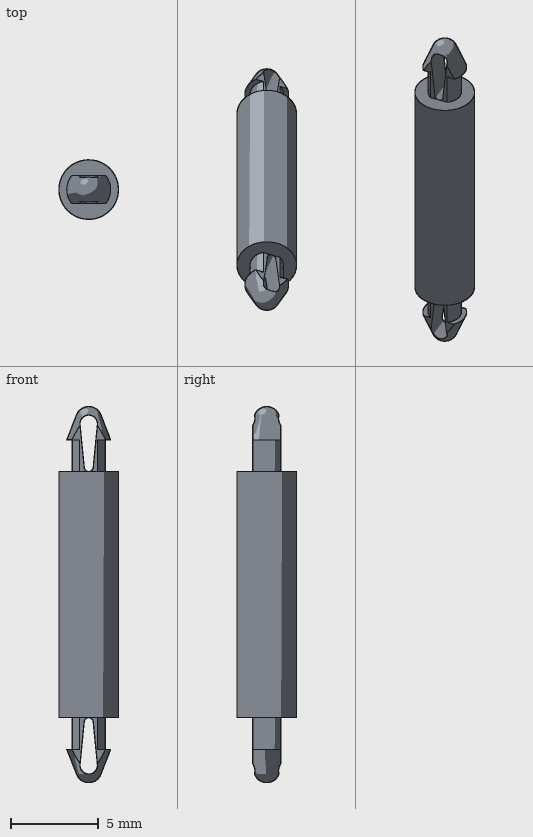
import math

import cadquery as cq

BODY_DIAMETER = 3.4
BODY_LENGTH = 14.0

CLIP_HEIGHT = 3.7
CLIP_THICKNESS = 1.6
STEM_DIAMETER = 1.9
BARB_DIAMETER = 2.5
BARB_HEIGHT = 1.8
NOSE_RADIUS = 0.75

SLOT_BOTTOM_RADIUS = 0.25
SLOT_TOP_RADIUS = 0.49
SLOT_TOP_HEIGHT = 3.2


def polar(center, radius, angle):
    """Point at the given angle on a circle around center."""
    return (center[0] + radius * math.cos(angle), center[1] + radius * math.sin(angle))


def make_body():
    """Plain round spacer."""
    return cq.Workplane("XY").cylinder(BODY_LENGTH, BODY_DIAMETER / 2)


def make_stem_and_barb():
    """Round stem with a conical barb that runs tangentially into a spherical nose."""
    stem_radius = STEM_DIAMETER / 2
    barb_radius = BARB_DIAMETER / 2
    nose_center = (0, CLIP_HEIGHT - NOSE_RADIUS)
    rise = nose_center[1] - BARB_HEIGHT
    tangent_angle = math.atan2(-rise, barb_radius) + math.acos(NOSE_RADIUS / math.hypot(barb_radius, rise))
    return (
        cq.Workplane("XZ")
        .lineTo(stem_radius, 0)
        .lineTo(stem_radius, BARB_HEIGHT)
        .lineTo(barb_radius, BARB_HEIGHT)
        .lineTo(*polar(nose_center, NOSE_RADIUS, tangent_angle))
        .threePointArc(
            polar(nose_center, NOSE_RADIUS, (tangent_angle + math.pi / 2) / 2),
            (0, CLIP_HEIGHT),
        )
        .close()
        .revolve(360, (0, 0), (0, 1))
    )


def make_slot():
    """Tapered slot through the clip along Y, with tangent round ends."""
    bottom_center = (0, SLOT_BOTTOM_RADIUS)
    top_center = (0, SLOT_TOP_HEIGHT - SLOT_TOP_RADIUS)
    wall_tilt = math.asin((SLOT_TOP_RADIUS - SLOT_BOTTOM_RADIUS) / (top_center[1] - bottom_center[1]))
    right = -wall_tilt
    left = math.pi + wall_tilt
    return (
        cq.Workplane("XZ")
        .moveTo(*polar(bottom_center, SLOT_BOTTOM_RADIUS, right))
        .lineTo(*polar(top_center, SLOT_TOP_RADIUS, right))
        .threePointArc((0, SLOT_TOP_HEIGHT), polar(top_center, SLOT_TOP_RADIUS, left))
        .lineTo(*polar(bottom_center, SLOT_BOTTOM_RADIUS, left))
        .threePointArc((0, 0), polar(bottom_center, SLOT_BOTTOM_RADIUS, right))
        .close()
        .extrude(BODY_DIAMETER / 2, both=True)
    )


def make_clip():
    """Barbed clip standing on the XY plane, flattened across Y and slotted."""
    flats = cq.Workplane("XY").box(
        BODY_DIAMETER, CLIP_THICKNESS, CLIP_HEIGHT, centered=(True, True, False)
    )
    return make_stem_and_barb().intersect(flats).cut(make_slot())


top_clip = make_clip().translate((0, 0, BODY_LENGTH / 2))
bottom_clip = top_clip.mirror("XY")
result = make_body().union(top_clip).union(bottom_clip)